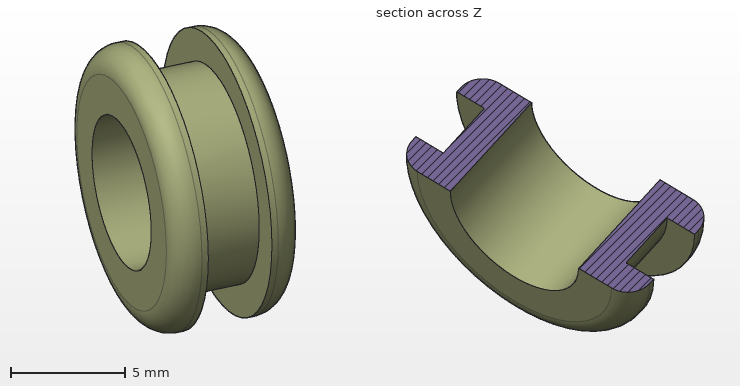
import cadquery as cq

flange_diameter = 13.0
groove_diameter = 10.0
bore_diameter = 7.0
flange_thickness = 1.5
groove_width = 3.0
rim_radius = 1.2

total_length = 2 * flange_thickness + groove_width


def cylinder_along_y(diameter, length):
    """Cylinder on the Y axis, centred on the origin."""
    end_plane = cq.Workplane("XZ", origin=(0, -length / 2, 0))
    return end_plane.circle(diameter / 2).extrude(-length)


def flanged_body():
    """Full-diameter disc with both outer rims rounded."""
    disc = cylinder_along_y(flange_diameter, total_length)
    return disc.edges("%CIRCLE").fillet(rim_radius)


def groove_ring():
    """Material removed between the flanges."""
    outside = cylinder_along_y(flange_diameter, groove_width)
    core = cylinder_along_y(groove_diameter, groove_width)
    return outside.cut(core)


bore = cylinder_along_y(bore_diameter, total_length)

result = flanged_body().cut(groove_ring()).cut(bore)